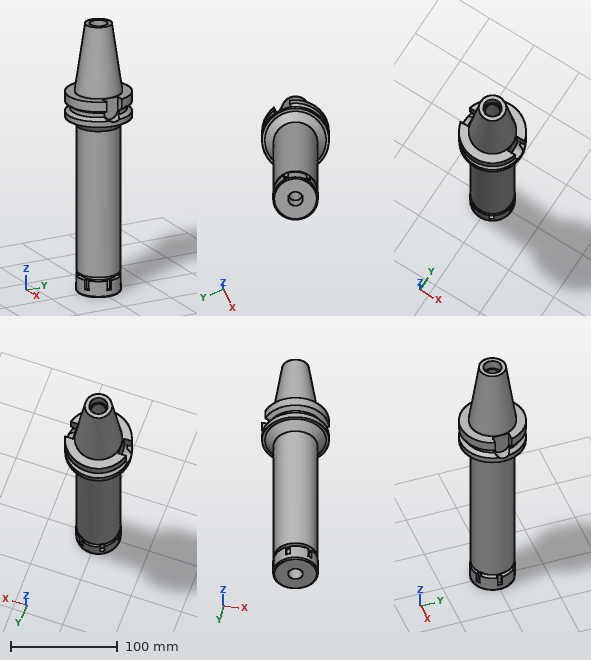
import cadquery as cq

total_height = 265.5
taper_base_z = 200.0
flange_top_z = 198.0
groove_upper_rim_z = 188.5
groove_upper_floor_z = 185.5
groove_lower_floor_z = 181.3
groove_lower_rim_z = 178.5
flange_bottom_z = 173.0
shank_top_z = 165.0
shank_bottom_z = 20.2
nut_height = 16.2

taper_small_radius = 12.7
taper_large_radius = 22.3
flange_radius = 31.45
groove_radius = 26.8
cone_radius = 28.7
shank_radius = 20.7
neck_radius = 16.5

bore_radius = 7.0
counterbore_radius = 8.5
counterbore_depth = 9.3

drive_slot_width = 16.2
drive_slot_floor_x = 22.5
drive_slot_bottom_z = 177.0

nut_radius = 21.1
nut_chamfer = 1.3
wrench_slot_count = 6
wrench_slot_width = 4.2
wrench_slot_floor_radius = 18.0
wrench_slot_bottom_z = 7.0


def revolved_blank():
    """Holder outline turned about Z: taper, grooved flange, cone, shank and neck."""
    outline = [
        (0, nut_height),
        (neck_radius, nut_height),
        (neck_radius, shank_bottom_z),
        (shank_radius, shank_bottom_z),
        (shank_radius, shank_top_z),
        (cone_radius, flange_bottom_z),
        (flange_radius, flange_bottom_z),
        (flange_radius, groove_lower_rim_z),
        (groove_radius, groove_lower_floor_z),
        (groove_radius, groove_upper_floor_z),
        (flange_radius, groove_upper_rim_z),
        (flange_radius, flange_top_z),
        (taper_large_radius, flange_top_z),
        (taper_large_radius, taper_base_z),
        (taper_small_radius, total_height),
        (0, total_height),
    ]
    return cq.Workplane("XZ").polyline(outline).close().revolve(360, (0, 0), (0, 1))


def bore(radius, bottom_z, top_z):
    """Cylinder on the Z axis, used to cut a hole."""
    return cq.Workplane("XY").workplane(offset=bottom_z).circle(radius).extrude(top_z - bottom_z)


def drive_slot(angle):
    """Round-bottomed slot open at the flange top and rim, facing the given angle."""
    half_width = drive_slot_width / 2
    round_center_z = drive_slot_bottom_z + half_width
    slot = (
        cq.Workplane("YZ")
        .workplane(offset=drive_slot_floor_x)
        .moveTo(-half_width, flange_top_z)
        .lineTo(-half_width, round_center_z)
        .threePointArc((0, drive_slot_bottom_z), (half_width, round_center_z))
        .lineTo(half_width, flange_top_z)
        .close()
        .extrude(flange_radius - drive_slot_floor_x)
    )
    return slot.rotate((0, 0, 0), (0, 0, 1), angle)


def make_holder():
    """Tool holder with two opposite drive slots and a stepped through bore."""
    body = revolved_blank()
    body = body.cut(bore(bore_radius, nut_height, total_height))
    body = body.cut(bore(counterbore_radius, total_height - counterbore_depth, total_height))
    for angle in (0, 180):
        body = body.cut(drive_slot(angle))
    return body


def wrench_slot(angle):
    """Narrow slot in the nut rim, open at the nut top."""
    slot = cq.Workplane("XY").box(
        nut_radius - wrench_slot_floor_radius,
        wrench_slot_width,
        nut_height - wrench_slot_bottom_z,
        centered=(False, True, False),
    )
    slot = slot.translate((wrench_slot_floor_radius, 0, wrench_slot_bottom_z))
    return slot.rotate((0, 0, 0), (0, 0, 1), angle)


def make_nut():
    """Clamping nut butted against the neck, with wrench slots around its rim."""
    body = cq.Workplane("XY").circle(nut_radius).extrude(nut_height)
    body = body.faces("<Z").edges().chamfer(nut_chamfer)
    body = body.cut(bore(bore_radius, 0, nut_height))
    for index in range(wrench_slot_count):
        body = body.cut(wrench_slot(index * 360 / wrench_slot_count))
    return body


holder = make_holder()
nut = make_nut()

result = cq.Compound.makeCompound([holder.val(), nut.val()])